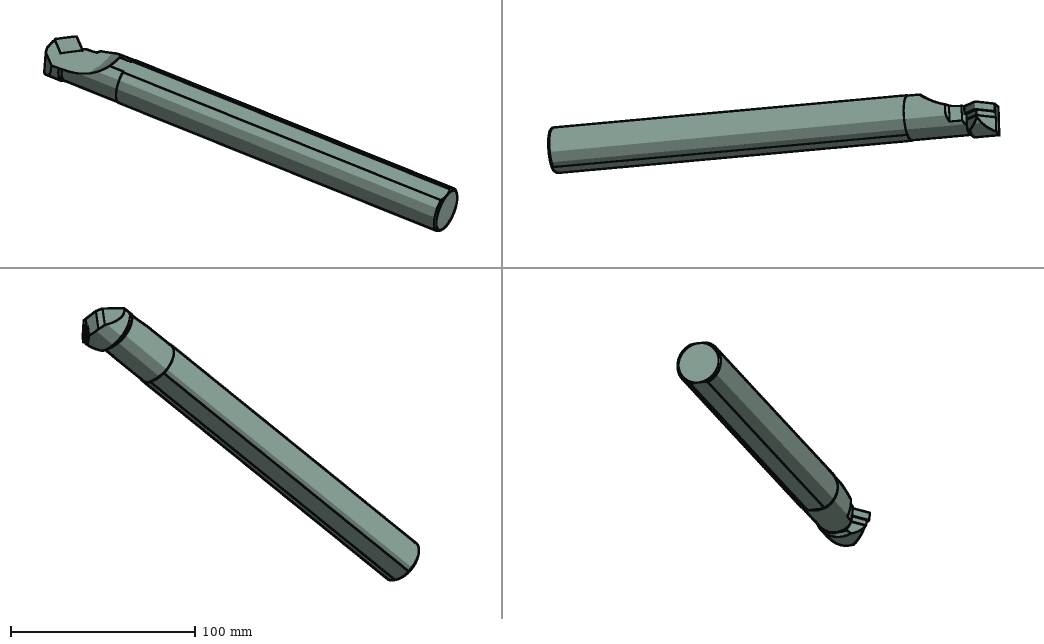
import cadquery as cq
import math

total_length = 250.0
neck_end = 50.0
head_length = 16.0
head_bevel = 2.0

relief_y = 10.5
relief_end = 25.0

shank_radius = 12.5
neck_radius = 12.2
flat_height = 11.5
end_chamfer = 1.0

head_radius = 14.5
nose_facet_y = -0.2
nose_corner_x = 1.2
nose_corner_y = -4.0
nose_slant_x = 9.8

rake_angle = 6.8
rake_height = 1.62

insert_side = 12.5
insert_thickness = 4.2
insert_corner_radius = 0.8
insert_centre_y = 8.5
seat_setback = 1.2
lower_setback = 2.0
seat_thickness = 3.0

scoop_centre_x = -5.0
scoop_centre_y = 1.8
scoop_flat_radius = 24.8
scoop_sweep_radius = 31.2
scoop_depth = 20.0

clear = 50.0

tilt = math.radians(rake_angle)
head_offset_y = head_radius - shank_radius
half_diagonal = insert_side / math.sqrt(2)
corner_loss = insert_corner_radius * (math.sqrt(2) - 1)
insert_centre_x = half_diagonal - corner_loss
rake_plane = cq.Plane(
    origin=(0, 0, rake_height), xDir=(1, 0, 0), normal=(0, math.sin(tilt), math.cos(tilt))
)


def make_shank():
    """Round shank with a flat on top and bottom and a chamfered end."""
    length = total_length - neck_end
    shank = cq.Workplane("YZ").workplane(offset=neck_end).circle(shank_radius).extrude(length)
    shank = shank.faces(">X").chamfer(end_chamfer)
    flats = cq.Workplane("XY").box(2 * total_length, clear, 2 * flat_height)
    return shank.intersect(flats)


def make_neck():
    """Round neck with a flat on top and a side relief behind the insert."""
    neck = (
        cq.Workplane("YZ").workplane(offset=head_length)
        .circle(neck_radius).extrude(neck_end - head_length)
    )
    top_cut = cq.Workplane("XY").box(2 * total_length, clear, clear, centered=(True, True, False))
    relief_depth = relief_y - insert_centre_y
    relief = (
        cq.Workplane(rake_plane)
        .moveTo(head_length, insert_centre_y)
        .lineTo(head_length + relief_depth, relief_y)
        .lineTo(relief_end, relief_y)
        .lineTo(relief_end + clear, relief_y + clear)
        .lineTo(head_length, relief_y + clear)
        .close()
        .extrude(clear, both=True)
    )
    return neck.cut(top_cut.translate((0, 0, flat_height))).cut(relief)


def make_nose_outline(setback):
    """Tall prism of the head outline, set back from the outer edges of the insert."""
    tip_y = insert_centre_y + insert_centre_x - setback
    return (
        cq.Workplane(rake_plane)
        .moveTo(0, nose_facet_y)
        .lineTo(nose_corner_x, nose_corner_y)
        .lineTo(nose_slant_x, -shank_radius)
        .lineTo(nose_slant_x, -clear)
        .lineTo(head_length, -clear)
        .lineTo(head_length, tip_y + insert_centre_x - head_length)
        .lineTo(insert_centre_x, tip_y)
        .lineTo(0, tip_y - insert_centre_x)
        .close()
        .extrude(clear, both=True)
    )


def make_head():
    """Eccentric cylinder bevelled into the neck, trimmed to a stepped nose outline."""
    blank = (
        cq.Workplane("YZ").center(head_offset_y, 0).circle(head_radius).extrude(head_length)
        .faces(">X").chamfer(head_bevel)
    )
    round_core = cq.Workplane("YZ").circle(shank_radius).extrude(head_length)
    blank = blank.union(round_core)
    seat_bottom = -(insert_thickness + seat_thickness)
    below_seat = (
        cq.Workplane(rake_plane).workplane(offset=seat_bottom)
        .rect(2 * clear, 2 * clear).extrude(-clear)
    )
    upper = blank.intersect(make_nose_outline(seat_setback)).cut(below_seat)
    lower = blank.intersect(make_nose_outline(lower_setback)).intersect(below_seat)
    return upper.union(lower)


def make_scoop():
    """Revolved cutter that leaves the rake face and the sweep up to the top flat."""
    reach = math.sqrt(scoop_sweep_radius**2 - (scoop_sweep_radius - scoop_depth) ** 2)
    half_angle = math.acos(1 - scoop_depth / scoop_sweep_radius) / 2
    middle = (
        scoop_flat_radius + scoop_sweep_radius * math.sin(half_angle),
        scoop_sweep_radius * (1 - math.cos(half_angle)),
    )
    axis_plane = cq.Plane(
        origin=rake_plane.toWorldCoords((scoop_centre_x, scoop_centre_y, 0)),
        xDir=(1, 0, 0),
        normal=rake_plane.yDir * -1,
    )
    return (
        cq.Workplane(axis_plane)
        .lineTo(scoop_flat_radius, 0)
        .threePointArc(middle, (scoop_flat_radius + reach, scoop_depth))
        .lineTo(0, scoop_depth)
        .close()
        .revolve(360, (0, 0, 0), (0, 1, 0))
    )


def make_square(plane):
    """Sharp square block under the given plane, turned so one corner points sideways."""
    return (
        cq.Workplane(plane)
        .center(insert_centre_x, insert_centre_y)
        .transformed(rotate=(0, 0, 45))
        .rect(insert_side, insert_side)
        .extrude(-insert_thickness)
    )


def make_insert():
    """Square insert with a sharp inner corner and three rounded ones."""
    level = make_square(cq.Plane.XY())
    inner_point = (insert_centre_x, insert_centre_y - half_diagonal)
    inner_edge = cq.selectors.NearestToPointSelector((*inner_point, -insert_thickness / 2))
    rounded = level.edges("|Z").edges(
        cq.selectors.InverseSelector(inner_edge)
    ).fillet(insert_corner_radius)
    return cq.Workplane(rounded.val().moved(rake_plane.location))


insert = make_insert()
seat = make_square(rake_plane)
holder = make_shank().union(make_neck()).union(make_head()).cut(make_scoop()).cut(seat)

result = cq.Compound.makeCompound([holder.val(), insert.val()])